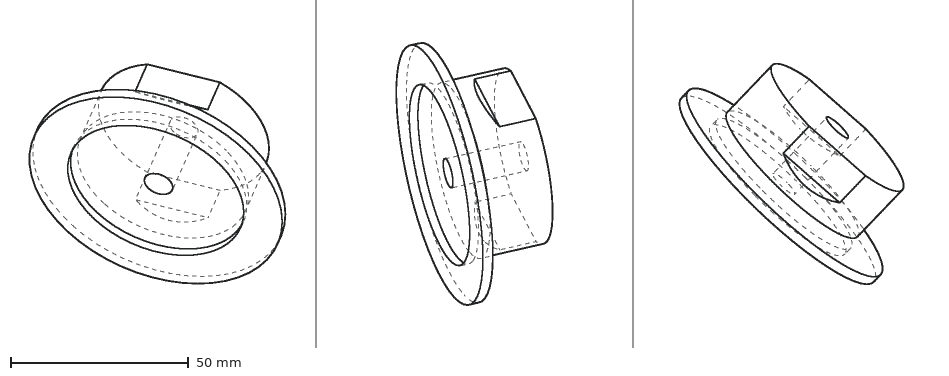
import cadquery as cq

flange_diameter = 75.0
rim_thickness = 3.0
hub_diameter = 50.8
hub_start = 6.2
total_length = 25.0
bore_diameter = 8.4
recess_diameter = 52.2
recess_depth = 2.55
across_flats = 46.0
flat_length = 10.8

flange_radius = flange_diameter / 2
hub_radius = hub_diameter / 2
flat_offset = across_flats / 2
flat_depth = hub_radius - flat_offset
flat_start = total_length - flat_length


def make_body():
    """Revolve the flange rim, its conical back and the hub."""
    return (
        cq.Workplane("XY")
        .polyline([
            (0, 0),
            (flange_radius, 0),
            (flange_radius, rim_thickness),
            (hub_radius, hub_start),
            (hub_radius, total_length),
            (0, total_length),
        ])
        .close()
        .revolve(360, (0, 0, 0), (0, 1, 0))
    )


def cut_from_face(body, diameter, depth):
    """Cut a round opening along the axis, starting at the flange face."""
    cutter = cq.Workplane("XZ").circle(diameter / 2).extrude(-depth)
    return body.cut(cutter)


def make_flat_cutter():
    """Upper wrench flat, ending in a 45 degree run-out towards the flange."""
    return (
        cq.Workplane("YZ")
        .polyline([
            (total_length, flat_offset),
            (flat_start, flat_offset),
            (flat_start - flat_depth, hub_radius),
            (total_length, hub_radius),
        ])
        .close()
        .extrude(hub_radius, both=True)
    )


body = make_body()
body = cut_from_face(body, recess_diameter, recess_depth)
body = cut_from_face(body, bore_diameter, total_length)

upper_flat = make_flat_cutter()
result = body.cut(upper_flat).cut(upper_flat.mirror("XY"))